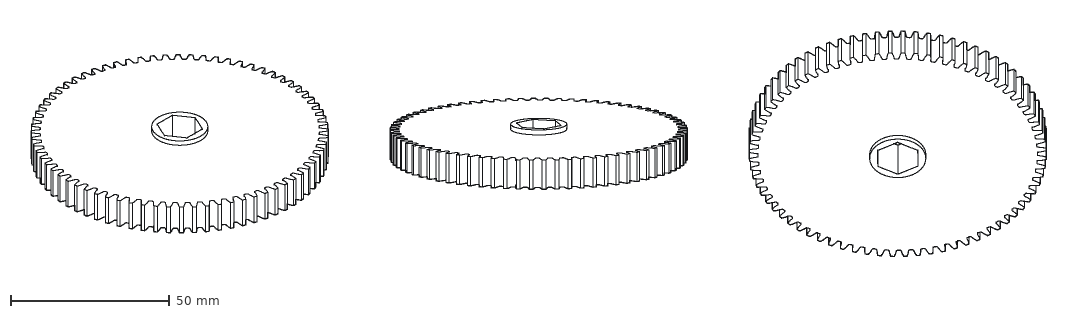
import cadquery as cq
import math

overall_size = 93.9
tooth_count = 72
pressure_angle = math.radians(14.5)
backlash = 0.1
root_depth_factor = 1.25
root_fillet = 0.52
face_width = 9.5
hub_diameter = 17.75
hub_length = 12.7
hex_across_flats = 12.7


def involute(angle):
    return math.tan(angle) - angle


tip_pressure_angle = math.acos(tooth_count * math.cos(pressure_angle) / (tooth_count + 2))
tip_gap_half_angle = (
    math.pi / (2 * tooth_count) + involute(tip_pressure_angle) - involute(pressure_angle)
)
outer_radius = overall_size / 2 / math.cos(tip_gap_half_angle)
module = 2 * outer_radius / (tooth_count + 2)
pitch_radius = module * tooth_count / 2
base_radius = pitch_radius * math.cos(pressure_angle)
root_radius = pitch_radius - root_depth_factor * module
tooth_pitch_degrees = 360 / tooth_count

cutter_radius = outer_radius + module / 2


def gap_half_angle(radius):
    """Half of the angle between the involute flanks of a gap; constant below the base circle."""
    local_pressure_angle = math.acos(min(1, base_radius / radius))
    half_angle_at_pitch = (math.pi * module / 2 + backlash) / (2 * pitch_radius)
    return half_angle_at_pitch + involute(local_pressure_angle) - involute(pressure_angle)


def polar_point(radius, angle):
    return (radius * math.cos(angle), radius * math.sin(angle))


def gap_side_points():
    """Points down one side of the gap centred on +X: along the flank, round the fillet and onto the root."""
    flank_end_radius = root_radius + root_fillet
    flank_radii = (cutter_radius, outer_radius, pitch_radius, flank_end_radius)
    flank = [polar_point(radius, gap_half_angle(radius)) for radius in flank_radii]
    centre_x, flank_end_y = flank[-1]
    centre_y = flank_end_y - root_fillet
    fillet = []
    for degrees in (30, 60, 90):
        turn = math.radians(degrees)
        fillet.append((
            centre_x - root_fillet * math.sin(turn),
            centre_y + root_fillet * math.cos(turn),
        ))
    return flank + fillet


def make_gap_cutter():
    """Prism filling one tooth gap, whose flanks, fillets and root are a single smooth surface."""
    upper_side = gap_side_points()
    lower_side = [(x, -y) for x, y in reversed(upper_side)]
    return (
        cq.Workplane("XY")
        .workplane(offset=-face_width / 2)
        .spline(upper_side + lower_side)
        .close()
        .extrude(face_width)
        .val()
    )


def make_toothed_disc():
    disc = cq.Workplane("XY").circle(outer_radius).extrude(face_width / 2, both=True)
    cutter = make_gap_cutter()
    axis_start = cq.Vector(0, 0, 0)
    axis_end = cq.Vector(0, 0, 1)
    gaps = [cutter.rotate(axis_start, axis_end, i * tooth_pitch_degrees) for i in range(tooth_count)]
    return cq.Workplane(disc.val().cut(*gaps))


def make_hub():
    """Round hub standing proud of both gear faces by the same amount."""
    return cq.Workplane("XY").circle(hub_diameter / 2).extrude(hub_length / 2, both=True)


def make_hex_bore():
    """Hexagonal through bore with two corners on the Y axis."""
    across_corners = hex_across_flats / math.cos(math.pi / 6)
    return (
        cq.Workplane("XY")
        .transformed(rotate=(0, 0, 90))
        .polygon(6, across_corners)
        .extrude(hub_length / 2, both=True)
    )


result = make_toothed_disc().union(make_hub()).cut(make_hex_bore())